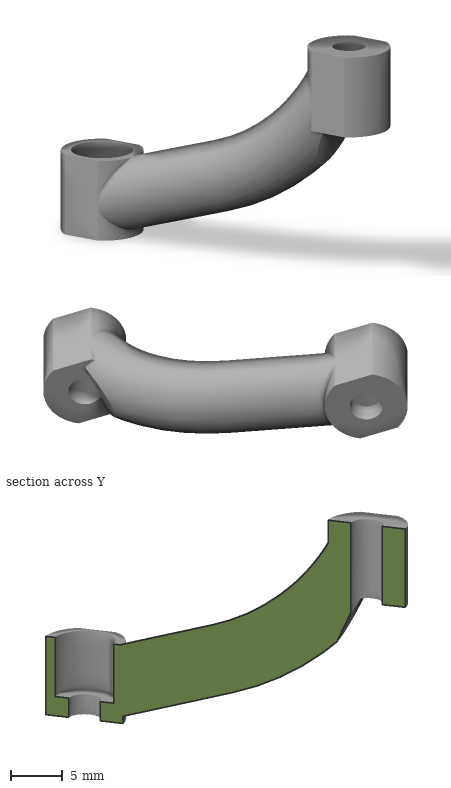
import cadquery as cq
import math

length = 37.0
width = 7.0
height = 23.0

boss_diameter = 8.0
boss_height = 8.0
hole_diameter = 3.2
counterbore_diameter = 6.0
counterbore_depth = 6.0
lower_x = boss_diameter / 2
upper_x = length - boss_diameter / 2
upper_base_z = height - boss_height

arm_diameter = width
arm_slope = math.radians(18)
arm_start_x = 5.18
bend_start_x = 18.1
bend_start_z = 7.7
bend_radius = 25.15
bend_end_slope = math.radians(62)

trim_low_x = 30.05
trim_low_z = 10.9
trim_high_x = 31.93


def boss(x, base_z):
    post = cq.Workplane("XY", origin=(x, 0, base_z)).circle(boss_diameter / 2).extrude(boss_height)
    flats = cq.Workplane("XY", origin=(x, 0, base_z)).rect(boss_diameter, width).extrude(boss_height)
    return post.intersect(flats)


def bore(x, base_z, diameter, depth):
    return cq.Workplane("XY", origin=(x, 0, base_z)).circle(diameter / 2).extrude(depth)


def bend_point(slope):
    """Point (x, z) on the bend centreline where it has the given slope angle."""
    return (
        bend_start_x + bend_radius * (math.sin(slope) - math.sin(arm_slope)),
        bend_start_z + bend_radius * (math.cos(arm_slope) - math.cos(slope)),
    )


def arm():
    start_z = bend_start_z - (bend_start_x - arm_start_x) * math.tan(arm_slope)
    path = (
        cq.Workplane("XZ")
        .moveTo(arm_start_x, start_z)
        .lineTo(bend_start_x, bend_start_z)
        .threePointArc(bend_point((arm_slope + bend_end_slope) / 2), bend_point(bend_end_slope))
    )
    section_plane = cq.Plane(
        origin=(arm_start_x, 0, start_z),
        xDir=(0, 1, 0),
        normal=(math.cos(arm_slope), 0, math.sin(arm_slope)),
    )
    tube = cq.Workplane(section_plane).circle(arm_diameter / 2).sweep(path)
    trim = (
        cq.Workplane("XZ")
        .moveTo(trim_low_x, 0)
        .lineTo(trim_low_x, trim_low_z)
        .lineTo(trim_high_x, upper_base_z)
        .lineTo(length, upper_base_z)
        .lineTo(length, 0)
        .close()
        .extrude(width, both=True)
    )
    return tube.cut(trim)


body = boss(lower_x, 0).union(boss(upper_x, upper_base_z)).union(arm())

lower_hole = bore(lower_x, 0, hole_diameter, boss_height)
counterbore = bore(lower_x, boss_height - counterbore_depth, counterbore_diameter, boss_height)
upper_hole = bore(upper_x, trim_low_z, hole_diameter, height - trim_low_z)

result = body.cut(lower_hole).cut(counterbore).cut(upper_hole)